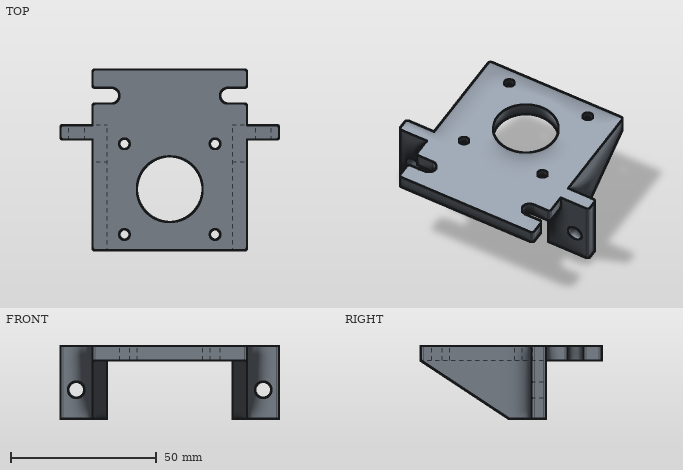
import cadquery as cq

total_width = 75.0
depth = 62.0
height = 25.0
thickness = 5.0
corner_radius = 1.0

plate_width = 53.0
wall_back = 43.0
wall_foot_front = 30.2

motor_y = 21.0
motor_diameter = 22.4
screw_offset = 15.5
screw_diameter = 3.5

slot_y = 53.0
slot_width = 5.3
slot_depth = 9.2

tab_hole_x = 32.0
tab_hole_z = 10.0
tab_hole_diameter = 5.5

plate_bottom = height - thickness


def make_plate():
    return cq.Workplane("XY").box(
        plate_width, depth, thickness, centered=(True, False, False)
    ).translate((0, 0, plate_bottom))


def make_wall(side):
    """Side wall with a sloped front; side is -1 or 1."""
    profile = [
        (0, height),
        (wall_back, height),
        (wall_back, 0),
        (wall_foot_front, 0),
        (0, plate_bottom),
    ]
    wall_center = side * (plate_width - thickness) / 2
    return (
        cq.Workplane("YZ", origin=(wall_center, 0, 0))
        .polyline(profile)
        .close()
        .extrude(thickness / 2, both=True)
    )


def make_tab(side):
    """Mounting tab reaching from the inner wall face to the outer side."""
    inner_x = plate_width / 2 - thickness
    tab_width = total_width / 2 - inner_x
    return (
        cq.Workplane("XY")
        .center(side * (inner_x + tab_width / 2), wall_back - thickness / 2)
        .rect(tab_width, thickness)
        .extrude(height)
        .edges("|Z and " + (">X" if side > 0 else "<X"))
        .fillet(corner_radius)
    )


def make_slot(side):
    """Cutter for a round-ended slot, open at the plate side."""
    return (
        cq.Workplane("XY", origin=(side * plate_width / 2, slot_y, plate_bottom))
        .slot2D(2 * slot_depth, slot_width)
        .extrude(thickness)
    )


plate = make_plate()
for side in (-1, 1):
    plate = plate.cut(make_slot(side))

body = plate
for side in (-1, 1):
    body = body.union(make_wall(side))

selection_margin = 0.1
for side in (-1, 1):
    for corner_y in (0, slot_y - slot_width / 2, slot_y + slot_width / 2, depth):
        corner_box = cq.selectors.BoxSelector(
            (side * plate_width / 2 - selection_margin, corner_y - selection_margin, plate_bottom - selection_margin),
            (side * plate_width / 2 + selection_margin, corner_y + selection_margin, height + selection_margin),
        )
        body = body.edges("|Z").edges(corner_box).fillet(corner_radius)

for side in (-1, 1):
    body = body.union(make_tab(side))

motor_plane = cq.Workplane("XY", origin=(0, motor_y, plate_bottom))
body = body.cut(motor_plane.circle(motor_diameter / 2).extrude(thickness))
screws = (
    motor_plane.rect(2 * screw_offset, 2 * screw_offset, forConstruction=True)
    .vertices()
    .circle(screw_diameter / 2)
    .extrude(thickness)
)
body = body.cut(screws)

tab_holes = (
    cq.Workplane("XZ", origin=(0, wall_back, 0))
    .pushPoints([(-tab_hole_x, tab_hole_z), (tab_hole_x, tab_hole_z)])
    .circle(tab_hole_diameter / 2)
    .extrude(thickness)
)
result = body.cut(tab_holes)